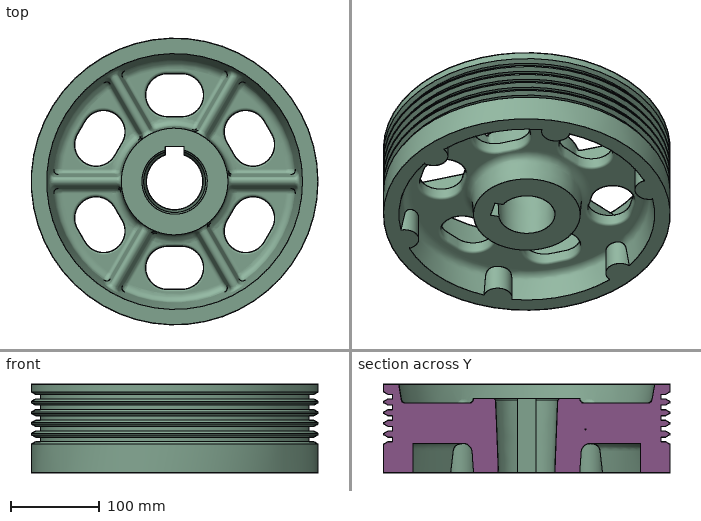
import cadquery as cq
import math

RIM_R = 161.5
HEIGHT = 100.0
RIM_MOUTH_R = 144.0
DRAFT = math.radians(10)

WEB_TOP_Z = 49.0
WEB_THICKNESS = 16.0
WEB_BOTTOM_Z = WEB_TOP_Z - WEB_THICKNESS
WEB_MIDDLE_Z = (WEB_TOP_Z + WEB_BOTTOM_Z) / 2
WEB_FILLET = 10.0

HUB_R = 60.0
HUB_DRAFT = math.radians(4)
HUB_TOP_Z = 84.0
HUB_BOTTOM_Z = 0.0
BORE_TOP_R = 35.0
BORE_BOTTOM_R = 31.5
BORE_CHAMFER = 2.0
KEYWAY_WIDTH = 20.7
KEYWAY_TOP_Y = 39.5

BOSS_R = 16.0

GROOVE_COUNT = 5
GROOVE_TOP_Z = 86.0
GROOVE_BOTTOM_Z = 37.8
GROOVE_PITCH = (GROOVE_TOP_Z - GROOVE_BOTTOM_Z) / (GROOVE_COUNT - 1)
GROOVE_WIDTH = 5.0
GROOVE_ROOT_R = 151.5
GROOVE_LIP_DEPTH = 5.0
GROOVE_LIP_HEIGHT = 2.75

RIB_COUNT = 6
RIB_STEP = 360.0 / RIB_COUNT
RIB_TOP_Z = 78.8
RIB_CREST_R = 5.0
RIB_CREST_FLAT = 0.3
RIB_FILLET = 5.0
RIB_OVERLAP = 6.5
RIB_RIM_OVERLAP = 3.2
WINDOW_LENGTH = 65.0
WINDOW_WIDTH = 48.0
WINDOW_CENTER_R = 97.2
WINDOW_FILLET = 3.0

SLOPE_TOLERANCE = 0.01
HEIGHT_TOLERANCE = 0.3
BAND_MARGIN = 3.2


def recess(face_z, web_z, hub_z):
    """Hollow between rim and hub, open at face_z, passing over the hub face and rounded into the web."""
    rim_foot_r = RIM_MOUTH_R - abs(face_z - web_z) * math.tan(DRAFT)
    hub_foot_r = HUB_R + abs(hub_z - web_z) * math.tan(HUB_DRAFT)
    outline = [(HUB_R, hub_z), (hub_foot_r, web_z), (rim_foot_r, web_z), (RIM_MOUTH_R, face_z)]
    if hub_z != face_z:
        outline += [(0, face_z), (0, hub_z)]
    hollow = cq.Workplane("XZ").polyline(outline).close().revolve(360, (0, 0, 0), (0, 1, 0))
    foot = "<Z" if face_z > web_z else ">Z"
    return hollow.faces(foot).edges().fillet(WEB_FILLET)


def groove(z):
    """Square-bottomed groove with a beveled mouth."""
    half_root = GROOVE_WIDTH / 2
    half_mouth = half_root + GROOVE_LIP_HEIGHT
    lip_r = RIM_R - GROOVE_LIP_DEPTH
    upper = [(GROOVE_ROOT_R, half_root), (lip_r, half_root), (RIM_R, half_mouth)]
    lower = [(r, -offset) for r, offset in reversed(upper)]
    outline = [(r, z + offset) for r, offset in upper + lower]
    return cq.Workplane("XZ").polyline(outline).close().revolve(360, (0, 0, 0), (0, 1, 0))


def rim_boss(angle):
    """Round pillar from the web down to the lower face, half buried in the rim wall."""
    return (
        cq.Workplane("XY")
        .center(RIM_MOUTH_R, 0)
        .circle(BOSS_R)
        .extrude(WEB_MIDDLE_Z)
        .intersect(cq.Workplane("XY").circle(GROOVE_ROOT_R).extrude(WEB_MIDDLE_Z))
        .rotate((0, 0, 0), (0, 0, 1), angle)
    )


def rib(angle):
    """Radial rib with drafted sides and a rounded crest."""
    crest_center_z = RIB_TOP_Z - RIB_CREST_R
    half_flat = RIB_CREST_FLAT / 2
    side_y = half_flat + RIB_CREST_R * math.cos(DRAFT)
    side_z = crest_center_z + RIB_CREST_R * math.sin(DRAFT)
    base_y = side_y + (side_z - WEB_MIDDLE_Z) * math.tan(DRAFT)
    mid_y = half_flat + RIB_CREST_R * math.sqrt(0.5)
    mid_z = crest_center_z + RIB_CREST_R * math.sqrt(0.5)
    start_r = HUB_R - RIB_OVERLAP
    end_r = RIM_MOUTH_R + RIB_RIM_OVERLAP
    return (
        cq.Workplane("YZ")
        .workplane(offset=start_r)
        .moveTo(-base_y, WEB_MIDDLE_Z)
        .lineTo(-side_y, side_z)
        .threePointArc((-mid_y, mid_z), (-half_flat, RIB_TOP_Z))
        .lineTo(half_flat, RIB_TOP_Z)
        .threePointArc((mid_y, mid_z), (side_y, side_z))
        .lineTo(base_y, WEB_MIDDLE_Z)
        .close()
        .extrude(end_r - start_r)
        .rotate((0, 0, 0), (0, 0, 1), angle)
    )


def windows():
    """Slot-shaped openings through the web, one midway between each pair of ribs."""
    bottom_z = WEB_BOTTOM_Z - WEB_FILLET
    return (
        cq.Workplane("XY")
        .workplane(offset=bottom_z)
        .polarArray(WINDOW_CENTER_R, RIB_STEP / 2, 360, RIB_COUNT)
        .slot2D(WINDOW_LENGTH, WINDOW_WIDTH, 90)
        .extrude(WEB_TOP_Z + WEB_FILLET - bottom_z)
    )


def bore():
    """Tapered bore with a chamfered top edge."""
    chamfer_z = HUB_TOP_Z - BORE_CHAMFER
    outline = [
        (0, HUB_BOTTOM_Z),
        (BORE_BOTTOM_R, HUB_BOTTOM_Z),
        (BORE_TOP_R, chamfer_z),
        (BORE_TOP_R + BORE_CHAMFER, HUB_TOP_Z),
        (0, HUB_TOP_Z),
    ]
    return cq.Workplane("XZ").polyline(outline).close().revolve(360, (0, 0, 0), (0, 1, 0))


def keyway():
    """Slot along the whole bore on the +Y side."""
    return (
        cq.Workplane("XY")
        .workplane(offset=HUB_BOTTOM_Z)
        .center(0, KEYWAY_TOP_Y / 2)
        .rect(KEYWAY_WIDTH, KEYWAY_TOP_Y)
        .extrude(HUB_TOP_Z - HUB_BOTTOM_Z)
    )


def faces_between(body, normal_z, z_min, z_max):
    """Planes whose normal has the given Z part, and all cylinders, lying within a height band."""
    found = []
    for face in body.faces().vals():
        box = face.BoundingBox()
        if box.zmin < z_min or box.zmax > z_max:
            continue
        kind = face.geomType()
        sloped = kind == "PLANE" and abs(face.normalAt().z - normal_z) < SLOPE_TOLERANCE
        if sloped or kind == "CYLINDER":
            found.append(face)
    return found


def boundary_edges(faces):
    """Edges that belong to exactly one of the given faces."""
    edges = [edge for face in faces for edge in face.Edges()]
    return [edge for edge in edges if sum(edge.isSame(other) for other in edges) == 1]


wheel = cq.Workplane("XY").circle(RIM_R).extrude(HEIGHT)
wheel = wheel.cut(recess(HEIGHT, WEB_TOP_Z, HUB_TOP_Z))
wheel = wheel.cut(recess(0, WEB_BOTTOM_Z, HUB_BOTTOM_Z))

for index in range(RIB_COUNT):
    wheel = wheel.union(rib(index * RIB_STEP))
rib_faces = faces_between(wheel, math.sin(DRAFT), WEB_TOP_Z - BAND_MARGIN, RIB_TOP_Z + BAND_MARGIN)
rib_faces += faces_between(wheel, 1, RIB_TOP_Z - HEIGHT_TOLERANCE, RIB_TOP_Z + HEIGHT_TOLERANCE)
wheel = wheel.newObject(boundary_edges(rib_faces)).fillet(RIB_FILLET)

wheel = wheel.cut(windows())
window_walls = faces_between(wheel, 0, WEB_BOTTOM_Z - WEB_FILLET, WEB_TOP_Z + WEB_FILLET)
wheel = wheel.newObject(boundary_edges(window_walls)).fillet(WINDOW_FILLET)

for index in range(RIB_COUNT):
    wheel = wheel.union(rim_boss(index * RIB_STEP))

wheel = wheel.cut(bore()).cut(keyway())
for index in range(GROOVE_COUNT):
    wheel = wheel.cut(groove(GROOVE_TOP_Z - index * GROOVE_PITCH))

result = wheel